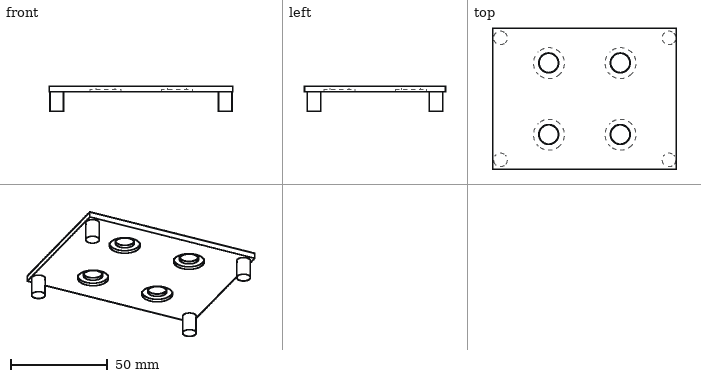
import cadquery as cq

plate_length = 95.0
plate_width = 73.0
plate_thickness = 3.0

total_height = 13.0
leg_height = total_height - plate_thickness
leg_diameter = 7.0
leg_spacing_x = 87.0
leg_spacing_y = 63.0

hole_diameter = 10.0
counterbore_diameter = 16.0
counterbore_depth = plate_thickness / 2
hole_spacing = 37.0


def make_plate():
    """Flat plate centred on the origin, with its underside at Z = 0."""
    return cq.Workplane("XY").box(
        plate_length, plate_width, plate_thickness, centered=(True, True, False)
    )


def add_legs(body):
    """Add four round legs hanging below the plate."""
    legs = (
        cq.Workplane("XY")
        .rect(leg_spacing_x, leg_spacing_y, forConstruction=True)
        .vertices()
        .circle(leg_diameter / 2)
        .extrude(-leg_height)
    )
    return body.union(legs)


def hole_pattern(diameter, height):
    """Four upright cylinders on the hole centres, rising from the plate underside."""
    return (
        cq.Workplane("XY")
        .rect(hole_spacing, hole_spacing, forConstruction=True)
        .vertices()
        .circle(diameter / 2)
        .extrude(height)
    )


def cut_holes(body):
    """Cut four through holes, each with a counterbore on the plate underside."""
    holes = hole_pattern(hole_diameter, plate_thickness)
    counterbores = hole_pattern(counterbore_diameter, counterbore_depth)
    return body.cut(holes).cut(counterbores)


result = cut_holes(add_legs(make_plate()))